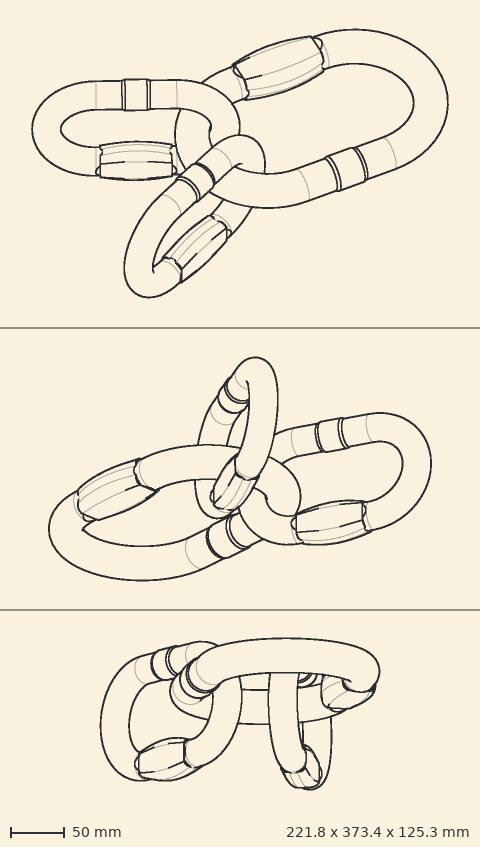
import cadquery as cq
import math

MASTER = dict(
    wire=32.0,
    inner_length=200.0,
    inner_width=109.8,
    collar=34.5,
    collar_length=31.7,
    collar_taper=3.5,
    block_length=80.0,
    block_width=45.5,
    block_end_width=30.5,
    block_height=27.5,
    flat_width=27.5,
    flat_end_width=21.0,
    side_height=9.5,
)

SUB = dict(
    wire=27.0,
    inner_length=140.5,
    inner_width=65.0,
    collar=29.0,
    collar_length=26.5,
    collar_taper=3.0,
    block_length=67.0,
    block_width=37.5,
    block_end_width=25.5,
    block_height=23.0,
    flat_width=24.0,
    flat_end_width=18.3,
    side_height=8.0,
)

SUB_X = 62.0
SUB_Y = -152.0
SUB_TILT = 25.0


def straight_length(size):
    """Length of the straight legs between the two half-circle ends."""
    return size["inner_length"] - size["inner_width"]


def leg_offset(size):
    """Distance from the link's centre line to the axis of each leg."""
    return (size["inner_width"] + size["wire"]) / 2


def wire_loop(size):
    """Round wire bent into an oval, long axis along Y."""
    x = leg_offset(size)
    y = straight_length(size) / 2
    path = (
        cq.Workplane("XY")
        .moveTo(x, 0)
        .lineTo(x, y)
        .threePointArc((0, y + x), (-x, y))
        .lineTo(-x, -y)
        .threePointArc((0, -y - x), (x, -y))
        .close()
    )
    return cq.Workplane("XZ", origin=(x, 0, 0)).circle(size["wire"] / 2).sweep(path)


def weld_collar(size):
    """Raised band with tapered ends around the +X leg."""
    end = size["collar_length"] / 2
    band = end - size["collar_taper"]
    wire_radius = size["wire"] / 2
    collar_radius = size["collar"] / 2
    return (
        cq.Workplane("XY", origin=(leg_offset(size), 0, 0))
        .polyline([
            (0, -end),
            (wire_radius, -end),
            (collar_radius, -band),
            (collar_radius, band),
            (wire_radius, end),
            (0, end),
        ])
        .close()
        .revolve(360, (0, 0, 0), (0, 1, 0))
    )


def flat_relief(size):
    """Cutter that levels the wire above the -X leg's flat, with sloping ends."""
    flat_end = size["block_length"] / 2
    slope_end = straight_length(size) / 2
    flat_z = size["block_height"] / 2
    top_z = size["wire"] / 2
    return (
        cq.Workplane("YZ", origin=(-leg_offset(size), 0, 0))
        .polyline([
            (-flat_end, flat_z),
            (flat_end, flat_z),
            (slope_end, top_z),
            (-slope_end, top_z),
        ])
        .close()
        .extrude(size["wire"] / 2, both=True)
    )


def block_section(work, size, width, flat_width):
    """Draw one cross-section of the grip block: flats joined by round corners."""
    side_x = width / 2
    flat_x = flat_width / 2
    side_z = size["side_height"] / 2
    flat_z = size["block_height"] / 2
    diagonal = math.cos(math.radians(45))
    mid_x = flat_x + (side_x - flat_x) * diagonal
    mid_z = side_z + (flat_z - side_z) * diagonal
    return (
        work.moveTo(side_x, -side_z)
        .lineTo(side_x, side_z)
        .threePointArc((mid_x, mid_z), (flat_x, flat_z))
        .lineTo(-flat_x, flat_z)
        .threePointArc((-mid_x, mid_z), (-side_x, side_z))
        .lineTo(-side_x, -side_z)
        .threePointArc((-mid_x, -mid_z), (-flat_x, -flat_z))
        .lineTo(flat_x, -flat_z)
        .threePointArc((mid_x, -mid_z), (side_x, -side_z))
        .close()
    )


def grip_block(size):
    """Barrel-shaped block on the -X leg, widest at mid-length."""
    half = size["block_length"] / 2
    end_sizes = (size["block_end_width"], size["flat_end_width"])
    work = cq.Workplane("XZ", origin=(-leg_offset(size), half, 0))
    work = block_section(work, size, *end_sizes)
    work = block_section(work.workplane(offset=half), size, size["block_width"], size["flat_width"])
    work = block_section(work.workplane(offset=half), size, *end_sizes)
    return work.loft()


def make_link(size):
    """Complete link: wire loop, weld collar and grip block."""
    relief = flat_relief(size)
    return (
        wire_loop(size)
        .cut(relief)
        .cut(relief.mirror("XY"))
        .union(weld_collar(size))
        .union(grip_block(size))
        .solids()
    )


def make_sub_link(side):
    """Sub-link stood upright, collar on top; side is -1 for -X and +1 for +X."""
    return (
        make_link(SUB)
        .rotate((0, 0, 0), (0, 1, 0), -90)
        .rotate((0, 0, 0), (0, 0, 1), side * SUB_TILT)
        .translate((side * SUB_X, SUB_Y, 0))
    )


master_link = make_link(MASTER)
sub_links = [make_sub_link(side) for side in (-1, 1)]

result = cq.Compound.makeCompound([master_link.val(), *[link.val() for link in sub_links]])